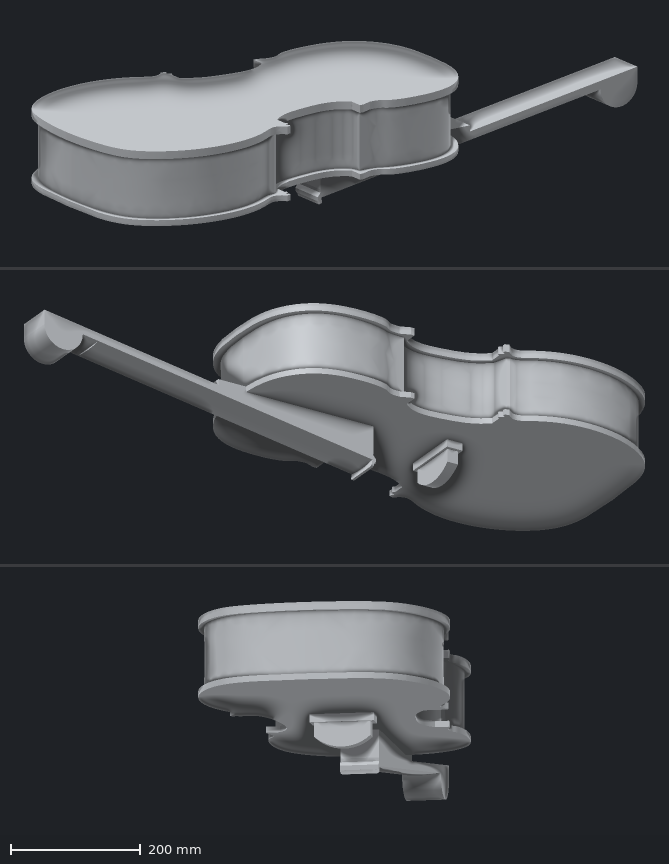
import cadquery as cq
import math


total_length = 1050.0

box_length = 686.0
belly_thickness = 9.0
rib_height = 99.0
back_thickness = 13.0
rib_top_inset = 13.0
rib_tail_inset = 9.0
belly_tail_inset = 3.0
tail_rise = 1.6

neck_offset = 3.0
neck_width = 61.0
neck_slope = 8.8
neck_tip_z = 48.0
neck_side_height = 14.0
fingerboard_crown = 3.0
fingerboard_end_y = 454.0
head_end_y = 951.0
wedge_start_y = 735.0
scroll_radius = 35.0

nut_top_drop = 5.8
nut_depth = 6.0
nut_height = 19.0
nut_bevel = 5.0
nut_corner_radius = 4.0
nut_lip_height = 6.0
nut_lip_setback = 2.0

bridge_offset = 2.0
bridge_y = 319.0
foot_width = 101.0
foot_thickness = 28.0
foot_height = 13.0
blade_width = 88.0
blade_thickness = 19.0
blade_side_height = 22.0
blade_crown = 17.0

slope_tan = math.tan(math.radians(neck_slope))
slope_cos = math.cos(math.radians(neck_slope))
slope_sin = math.sin(math.radians(neck_slope))
rib_bottom_z = belly_thickness
back_bottom_z = rib_bottom_z + rib_height


def neck_top_z(y):
    """Height of the sloping top face of the neck at a given Y."""
    return neck_tip_z - (total_length - y) * slope_tan


def mirrored_outline(top_y, upper_bout, upper_corner, waist, lower_corner, lower_bout, tail_y):
    """Closed violin outline: its +X half from top to tail, mirrored about the YZ plane.

    The bouts and the waist are smooth curves; the corners between them are straight-edged.
    """
    half = (
        cq.Workplane("XY")
        .moveTo(0, top_y)
        .spline(upper_bout, tangents=[(1, 0), (0, -1)], includeCurrent=True)
    )
    for point in upper_corner:
        half = half.lineTo(*point)
    half = half.spline(waist, includeCurrent=True)
    for point in lower_corner:
        half = half.lineTo(*point)
    half = half.spline([*lower_bout, (0, tail_y)], includeCurrent=True)
    return half.mirrorY()


def plate_outline(tail_y):
    """Outline of the back and belly plates, with hooked lower corners."""
    return mirrored_outline(
        top_y=box_length,
        upper_bout=[(53.0, 683.0), (89.0, 672.0), (132.0, 639.0), (154.0, 576.0), (145.0, 500.0), (138.0, 475.0)],
        upper_corner=[(144.0, 458.0), (144.0, 452.0), (122.0, 452.0)],
        waist=[(107.0, 429.0), (106.0, 373.0), (116.0, 331.0), (132.0, 304.0)],
        lower_corner=[
            (153.0, 304.0), (154.0, 307.0), (158.0, 307.0), (161.0, 300.0),
            (164.0, 300.0), (165.0, 304.0), (169.0, 304.0), (171.0, 296.0),
        ],
        lower_bout=[
            (162.0, 277.0), (171.0, 256.0), (194.0, 166.0), (168.0, 67.0), (129.0, 24.0), (75.0, 6.0),
            (38.0, tail_y + tail_rise),
        ],
        tail_y=tail_y,
    )


def rib_outline():
    """Outline of the ribs, set in from the plates and with plain corners."""
    return mirrored_outline(
        top_y=box_length - rib_top_inset,
        upper_bout=[(50.0, 670.0), (85.0, 661.0), (125.0, 630.0), (145.0, 576.0), (137.0, 503.0), (129.0, 461.0)],
        upper_corner=[],
        waist=[(116.0, 458.0), (98.0, 432.0), (97.0, 373.0), (107.0, 327.0), (127.0, 296.0)],
        lower_corner=[(150.0, 289.0), (152.0, 284.0)],
        lower_bout=[
            (153.0, 272.0), (163.0, 253.0), (185.0, 164.0), (161.0, 72.0), (124.0, 33.0), (74.0, 15.0),
            (37.0, 10.0),
        ],
        tail_y=rib_tail_inset,
    )


def make_back():
    return plate_outline(0).extrude(back_thickness).translate((0, 0, back_bottom_z))


def make_ribs():
    return rib_outline().extrude(rib_height).translate((0, 0, rib_bottom_z))


def make_belly(wedge):
    """Belly plate, slotted where the neck wedge passes through it."""
    return plate_outline(belly_tail_inset).extrude(belly_thickness).cut(wedge)


def neck_side():
    """Workplane on the -X side face of the neck, in Y and Z."""
    return cq.Workplane("YZ", origin=(neck_offset - neck_width / 2, 0, 0))


def make_wedge():
    """Wedge filling the space between the ribs and the fingerboard."""
    return (
        neck_side()
        .moveTo(wedge_start_y, rib_bottom_z)
        .lineTo(wedge_start_y, neck_top_z(wedge_start_y))
        .lineTo(fingerboard_end_y, neck_top_z(fingerboard_end_y))
        .lineTo(fingerboard_end_y, rib_bottom_z)
        .close()
        .extrude(neck_width)
    )


def neck_section(y):
    """Workplane square to the neck on its top face at Y, facing down the slope to the tail."""
    return cq.Workplane(cq.Plane(
        origin=(neck_offset, y, neck_top_z(y)),
        xDir=(1, 0, 0),
        normal=(0, -slope_cos, -slope_sin),
    ))


def make_fingerboard():
    """Bar with a crowned underside, running down the slope from the head."""
    half_width = neck_width / 2
    length = (head_end_y - fingerboard_end_y) / slope_cos
    return (
        neck_section(head_end_y)
        .moveTo(-half_width, 0)
        .lineTo(half_width, 0)
        .lineTo(half_width, -neck_side_height)
        .threePointArc((0, -neck_side_height - fingerboard_crown), (-half_width, -neck_side_height))
        .close()
        .extrude(length)
    )


def make_head():
    """Flat head with a half-round scroll under its tip."""
    bottom_y = head_end_y + neck_side_height * slope_sin
    bottom_z = neck_top_z(head_end_y) - neck_side_height * slope_cos
    scroll_inner_y = total_length - 2 * scroll_radius
    scroll_z = bottom_z + (scroll_inner_y - bottom_y) * slope_tan
    return (
        neck_side()
        .moveTo(total_length, neck_tip_z)
        .lineTo(head_end_y, neck_top_z(head_end_y))
        .lineTo(bottom_y, bottom_z)
        .lineTo(scroll_inner_y, scroll_z)
        .threePointArc((total_length - scroll_radius, scroll_z - scroll_radius), (total_length, scroll_z))
        .close()
        .extrude(neck_width)
    )


def make_end_nut():
    """Bar across the fingerboard end: bevelled on top, with a set-back lip rounded at its corners."""
    section = neck_section(fingerboard_end_y)
    body_height = nut_height - nut_lip_height
    body = (
        section
        .center(0, -nut_top_drop - body_height / 2)
        .rect(neck_width, body_height)
        .extrude(nut_depth)
        .edges("|X")
        .edges("<Y")
        .chamfer(nut_bevel)
    )
    lip = (
        neck_section(fingerboard_end_y)
        .center(0, -nut_top_drop - body_height - nut_lip_height / 2)
        .rect(neck_width, nut_lip_height)
        .extrude(nut_depth - nut_lip_setback)
        .edges(cq.selectors.ParallelDirSelector(section.plane.zDir))
        .edges("<Z")
        .fillet(nut_corner_radius)
    )
    return body.union(lip)


def make_bridge_foot():
    return (
        cq.Workplane("XY", origin=(bridge_offset, bridge_y, 0))
        .rect(foot_width, foot_thickness)
        .extrude(-foot_height)
    )


def make_bridge_blade():
    """Upright blade whose free edge is an arc."""
    half_width = blade_width / 2
    return (
        cq.Workplane("XZ", origin=(bridge_offset, bridge_y, -foot_height))
        .moveTo(-half_width, 0)
        .lineTo(half_width, 0)
        .lineTo(half_width, -blade_side_height)
        .threePointArc((0, -blade_side_height - blade_crown), (-half_width, -blade_side_height))
        .close()
        .extrude(blade_thickness / 2, both=True)
    )


back = make_back()
ribs = make_ribs()
wedge = make_wedge()
belly = make_belly(wedge)
fingerboard = make_fingerboard()
head = make_head()
end_nut = make_end_nut()
bridge_foot = make_bridge_foot()
bridge_blade = make_bridge_blade()

result = cq.Compound.makeCompound([
    back.val(),
    ribs.val(),
    belly.val(),
    wedge.val(),
    fingerboard.val(),
    head.val(),
    end_nut.val(),
    bridge_foot.val(),
    bridge_blade.val(),
])